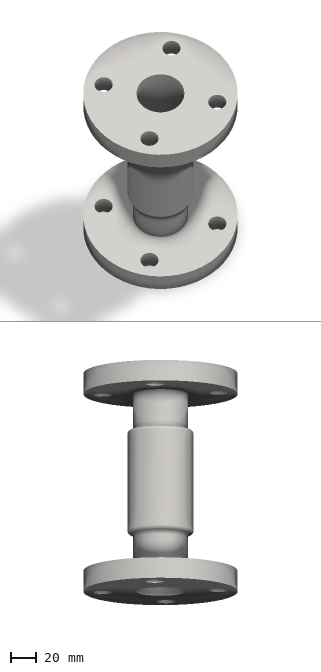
import cadquery as cq
import math

total_length = 172.0
flange_diameter = 120.0
flange_thickness = 16.2

tube_diameter = 42.7
bore_diameter = 37.2
sleeve_diameter = 51.6
sleeve_straight_length = 76.0
shoulder_length = 5.7

bolt_hole_diameter = 14.1
bolt_circle_diameter = 90.0
bolt_count = 4
first_bolt_angle = 45.0

half_length = total_length / 2
flange_inner_face = half_length - flange_thickness
sleeve_end = sleeve_straight_length / 2
shoulder_end = sleeve_end + shoulder_length
flange_radius = flange_diameter / 2
tube_radius = tube_diameter / 2
sleeve_radius = sleeve_diameter / 2
shoulder_drop = sleeve_radius - tube_radius

shoulder_slope = 2 * math.atan2(shoulder_drop, shoulder_length)
shoulder_arc_radius = shoulder_length / 2 / math.sin(shoulder_slope)
convex_mid_radius = sleeve_radius - shoulder_arc_radius * (1 - math.cos(shoulder_slope / 2))
convex_mid_height = sleeve_end + shoulder_arc_radius * math.sin(shoulder_slope / 2)
meet_radius = (sleeve_radius + tube_radius) / 2
meet_height = (sleeve_end + shoulder_end) / 2


def make_sleeve():
    """Straight middle stretch of the sleeve, centred on the middle plane."""
    base = cq.Workplane("XY").workplane(offset=-sleeve_end)
    return base.circle(sleeve_radius).extrude(sleeve_straight_length)


def make_upper_end():
    """Revolve the solid upper end: shoulder, tube and flange."""
    profile = (
        cq.Workplane("XZ")
        .moveTo(0, sleeve_end)
        .lineTo(sleeve_radius, sleeve_end)
        .threePointArc((convex_mid_radius, convex_mid_height), (meet_radius, meet_height))
        .tangentArcPoint((tube_radius, shoulder_end), relative=False)
        .lineTo(tube_radius, flange_inner_face)
        .lineTo(flange_radius, flange_inner_face)
        .lineTo(flange_radius, half_length)
        .lineTo(0, half_length)
        .close()
    )
    return profile.revolve(360, (0, 0), (0, 1))


def make_through_holes():
    """Full-length cutters for the central bore and the bolt holes of both flanges."""
    base = cq.Workplane("XY").workplane(offset=-half_length)
    bore = base.circle(bore_diameter / 2).extrude(total_length)
    bolt_holes = (
        base.polarArray(bolt_circle_diameter / 2, first_bolt_angle, 360, bolt_count)
        .circle(bolt_hole_diameter / 2)
        .extrude(total_length)
    )
    return bore.union(bolt_holes)


upper_end = make_upper_end()
lower_end = upper_end.mirror("XY")
body = make_sleeve().union(upper_end).union(lower_end).clean()
result = body.cut(make_through_holes())